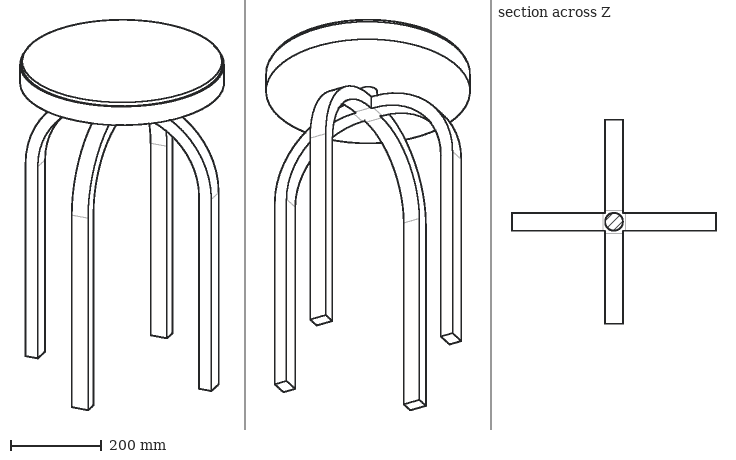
import cadquery as cq

stool_height = 748.0
seat_diameter = 450.0

leg_width = 40.0
leg_thickness = 30.0
bend_radius = 200.0
arch_height = 665.0

post_diameter = leg_width
post_height = 30.0

pad_rise = 8.0
tray_bore = 442.0
pad_diameter = 440.0
recess_depth = 15.0

arch_half_span = seat_diameter / 2
seat_bottom = arch_height + post_height
tray_top = stool_height - pad_rise
recess_floor = tray_top - recess_depth


def disc(diameter, bottom, top):
    """Vertical cylinder on the Z axis."""
    return cq.Workplane("XY").workplane(offset=bottom).circle(diameter / 2).extrude(top - bottom)


def arch_profile(half_span, top, radius):
    """Filled upright outline with two rounded upper corners, in the XZ plane."""
    spring_height = top - radius
    return (
        cq.Workplane("XZ")
        .moveTo(-half_span, 0)
        .lineTo(-half_span, spring_height)
        .radiusArc((-half_span + radius, top), radius)
        .lineTo(half_span - radius, top)
        .radiusArc((half_span, spring_height), radius)
        .lineTo(half_span, 0)
        .close()
        .extrude(leg_width / 2, both=True)
    )


def make_arch():
    """One bent bar that forms two opposite legs."""
    outside = arch_profile(arch_half_span, arch_height, bend_radius)
    inside = arch_profile(
        arch_half_span - leg_thickness,
        arch_height - leg_thickness,
        bend_radius - leg_thickness,
    )
    return outside.cut(inside)


def make_stool():
    """Crossed legs, post and recessed seat tray in one solid."""
    arch = make_arch()
    legs = arch.union(arch.rotate((0, 0, 0), (0, 0, 1), 90))
    post = disc(post_diameter, arch_height, seat_bottom)
    tray = disc(seat_diameter, seat_bottom, tray_top)
    recess = disc(tray_bore, recess_floor, tray_top)
    return legs.union(post).union(tray.cut(recess))


def make_pad():
    """Round pad resting on the recess floor, with a narrow gap around it."""
    return disc(pad_diameter, recess_floor, stool_height)


stool = make_stool()
pad = make_pad()
result = cq.Compound.makeCompound([stool.val(), pad.val()])